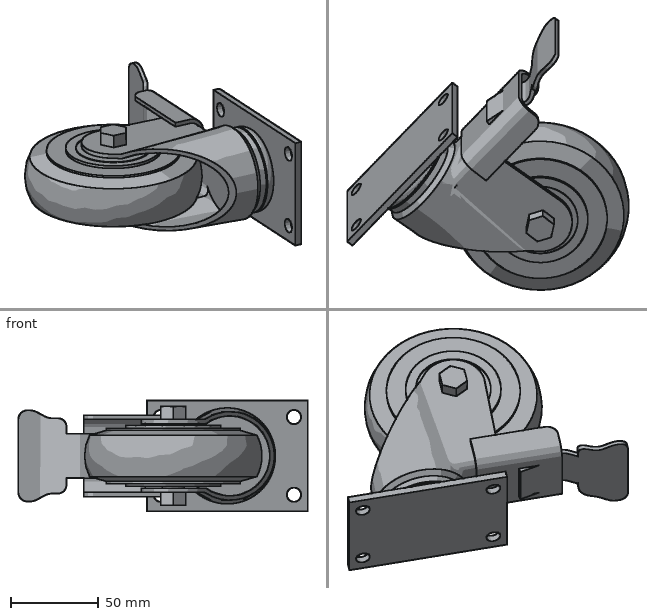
import cadquery as cq
import math


sheet = 2.5
swivel_x = 31.0

plate_top = 79.4
plate_thickness = 4.0
plate_length = 92.1
plate_width = 63.5
hole_spacing_x = 76.2
hole_spacing_z = 44.45
hole_diameter = 8.0
plate_bottom = plate_top - plate_thickness

race_radius = 25.0
race_rounding = 4.6
upper_race_bottom = 69.4
lower_race_top = 68.5
gap_neck_radius = 23.5

lower_race_bottom = 64.5
cup_top = 61.5
cup_radius = 27.5
cup_taper = 2.5
cup_front_y = 47.5

arm_top = 58.4
arm_outer_z = 20.9
arm_inner_z = arm_outer_z - sheet
arm_end_radius = 18.3
arm_bend = 6.5
arm_back_x = -15.8
arm_joint_fillet = 2.9

wheel_radius = 50.8
tread_edge_radius = 47.9
tread_edge_z = 11.8
rim_radius = 38.3
rim_low_z = 14.6
rim_high_z = 15.8
boss_radius = 27.3
boss_z = 17.4
recess_radius = 21.5
recess_depth = 0.4
hub_radius = 6.3

axle_radius = 5.0
bolt_flats = 14.5
bolt_head_height = 7.4
bolt_chamfer = 0.6

channel_back_x = -51.3
channel_length = 50.0
channel_top = 60.6
channel_bottom = 42.0
channel_corner = 6.5
channel_outer_z = arm_outer_z + sheet
channel_bend = arm_bend + sheet

pedal_tip_x = -88.7
pedal_tip_y = 63.8
pedal_flat_length = 7.0
pedal_crown_radius = 36.0
pedal_slope = 30.0
pedal_slope_length = 9.1
pedal_valley_radius = 8.0
pedal_rise = 25.5
pedal_bend_x = -37.5
pedal_end_x = -26.0
pedal_end_y = 61.9
pedal_tip_half_width = 26.2
pedal_tip_corner = 5.5
pedal_waist_start_x = -80.0
pedal_waist_end_x = -71.5
pedal_shoulder_half_width = 21.6
pedal_waist_corner = 10.0
pedal_shoulder_x = -61.0
pedal_shoulder_corner = 5.0
pedal_neck_half_width = 12.75


def about_swivel_axis(points):
    """Turn a closed (radius, y) outline round the swivel axis."""
    profile = cq.Workplane("XY").polyline(points).close()
    return profile.revolve(360, (0, 0, 0), (0, 1, 0)).translate((swivel_x, 0, 0))


def make_mounting_plate():
    plate = (
        cq.Workplane("XZ", origin=(swivel_x, plate_top, 0))
        .rect(plate_length, plate_width)
        .extrude(plate_thickness)
    )
    holes = (
        cq.Workplane("XZ", origin=(swivel_x, plate_top, 0))
        .rect(hole_spacing_x, hole_spacing_z, forConstruction=True)
        .vertices()
        .circle(hole_diameter / 2)
        .extrude(plate_thickness)
    )
    race = (
        cq.Workplane("XZ", origin=(swivel_x, plate_bottom, 0))
        .circle(race_radius)
        .extrude(plate_bottom - upper_race_bottom)
        .faces(">Y").edges().fillet(race_rounding)
    )
    neck = (
        cq.Workplane("XZ", origin=(swivel_x, upper_race_bottom, 0))
        .circle(gap_neck_radius)
        .extrude(upper_race_bottom - lower_race_top)
    )
    return plate.cut(holes).union(race).union(neck)


def tangent_point(x, y, radius, side):
    """Point where the line from (x, y) touches a circle about the origin."""
    angle = math.atan2(y, x) + side * math.acos(radius / math.hypot(x, y))
    return radius * math.cos(angle), radius * math.sin(angle)


def cup_radius_at(y):
    return cup_radius - (cup_top - y) * math.tan(math.radians(cup_taper))


def side_outline():
    """Outline of the fork seen along the axle, as a prism wider than the fork."""
    front_x = swivel_x + cup_radius_at(cup_front_y)
    front_touch = tangent_point(front_x, cup_front_y, arm_end_radius, -1)
    back_touch = tangent_point(arm_back_x, arm_top, arm_end_radius, 1)
    cup_right = swivel_x + cup_radius
    outline = (
        cq.Workplane("XY")
        .moveTo(arm_back_x, arm_top)
        .lineTo(arm_back_x, lower_race_top)
        .lineTo(cup_right, lower_race_top)
        .lineTo(cup_right, cup_top)
        .lineTo(front_x, cup_front_y)
        .lineTo(*front_touch)
        .threePointArc((0, -arm_end_radius), back_touch)
        .close()
    )
    return outline.extrude(2 * cup_radius, both=True)


def round_topped_bar(back_x, length, top, bottom, half_width, bend):
    """Solid bar along X with its two upper edges rounded."""
    bar = cq.Workplane("XY").box(length, top - bottom, 2 * half_width, centered=(False, False, True))
    return bar.translate((back_x, bottom, 0)).edges("|X and >Y").fillet(bend)


def make_fork_shell():
    bottom = -arm_end_radius
    blank_back_x = -arm_end_radius
    blank_length = swivel_x - blank_back_x
    cup_outer = about_swivel_axis([
        (0, lower_race_top),
        (race_radius, lower_race_top),
        (race_radius, lower_race_bottom),
        (cup_radius, cup_top),
        (cup_radius_at(bottom), bottom),
        (0, bottom),
    ])
    cavity_top = arm_top - sheet
    cup_inner = about_swivel_axis([
        (0, cavity_top),
        (cup_radius_at(cavity_top) - sheet, cavity_top),
        (cup_radius_at(bottom) - sheet, bottom),
        (0, bottom),
    ])
    arms_outer = round_topped_bar(blank_back_x, blank_length, arm_top, bottom, arm_outer_z, arm_bend)
    arms_inner = round_topped_bar(
        blank_back_x, blank_length, cavity_top, bottom, arm_inner_z, arm_bend - sheet
    )
    outside = cup_outer.union(arms_outer)
    joint_region = cq.selectors.BoxSelector(
        (0, 0, -cup_radius), (arm_end_radius, arm_top + sheet, cup_radius)
    )
    outside = outside.edges(joint_region).fillet(arm_joint_fillet)
    return outside.cut(cup_inner).cut(arms_inner).intersect(side_outline())


def make_axle():
    axle = cq.Workplane("XY").circle(axle_radius).extrude(arm_outer_z, both=True)
    hexagon = (
        cq.Workplane("XY", origin=(0, 0, arm_outer_z))
        .polygon(6, bolt_flats / math.cos(math.radians(30)))
        .extrude(bolt_head_height)
        .rotate((0, 0, 0), (0, 0, 1), 30)
    )
    corner_cone = (
        cq.Workplane("XY", origin=(0, 0, arm_outer_z))
        .circle(bolt_flats / 2 + bolt_head_height)
        .extrude(bolt_head_height)
        .faces(">Z").chamfer(bolt_chamfer, bolt_head_height)
    )
    head = hexagon.intersect(corner_cone)
    return axle.union(head).union(head.mirror("XY"))


def make_brake_channel():
    outer = round_topped_bar(
        channel_back_x, channel_length, channel_top, channel_bottom, channel_outer_z, channel_bend
    )
    inner = round_topped_bar(
        channel_back_x, channel_length, channel_top - sheet, channel_bottom, arm_outer_z, arm_bend
    )
    return outer.edges("|Z and <X and <Y").fillet(channel_corner).cut(inner)


def pedal_path():
    """Mid-thickness line of the pedal: flat tip, crown, slope, valley, and the end lying on the channel."""
    down = math.radians(pedal_slope)
    up = math.radians(pedal_rise)
    crown_start = (pedal_tip_x + pedal_flat_length, pedal_tip_y)
    crown_end = (
        crown_start[0] + pedal_crown_radius * math.sin(down),
        pedal_tip_y - pedal_crown_radius * (1 - math.cos(down)),
    )
    valley_start = (
        crown_end[0] + pedal_slope_length * math.cos(down),
        crown_end[1] - pedal_slope_length * math.sin(down),
    )
    valley_end = (
        valley_start[0] + pedal_valley_radius * (math.sin(down) + math.sin(up)),
        valley_start[1] + pedal_valley_radius * (math.cos(down) - math.cos(up)),
    )
    bend_y = valley_end[1] + (pedal_bend_x - valley_end[0]) * math.tan(up)
    return (
        cq.Workplane("XY")
        .moveTo(pedal_tip_x, pedal_tip_y)
        .lineTo(*crown_start)
        .tangentArcPoint(crown_end, relative=False)
        .lineTo(*valley_start)
        .tangentArcPoint(valley_end, relative=False)
        .lineTo(pedal_bend_x, bend_y)
        .lineTo(pedal_end_x, pedal_end_y)
    )


def pedal_planform():
    """Outline of the pedal seen square to its flat tip, as a prism taller than the pedal."""
    half_outline = [
        (pedal_tip_x, pedal_tip_half_width, pedal_tip_corner),
        (pedal_waist_start_x, pedal_tip_half_width, pedal_waist_corner),
        (pedal_waist_end_x, pedal_shoulder_half_width, pedal_waist_corner),
        (pedal_shoulder_x, pedal_shoulder_half_width, pedal_shoulder_corner),
    ]
    corners = [(x, z) for x, z, _ in half_outline]
    corners += [(pedal_shoulder_x, pedal_neck_half_width), (0, pedal_neck_half_width)]
    corners += [(x, -z) for x, z in reversed(corners)]
    planform = cq.Workplane("XZ").polyline(corners).close().extrude(-plate_top)
    for x, z, radius in half_outline:
        for side in (-1, 1):
            corner = cq.selectors.NearestToPointSelector((x, plate_top / 2, side * z))
            planform = planform.edges("|Y").edges(corner).fillet(radius)
    return planform


def make_pedal():
    strip = (
        cq.Workplane("YZ", origin=(pedal_tip_x, pedal_tip_y, 0))
        .rect(sheet, 2 * pedal_tip_half_width)
        .sweep(pedal_path(), transition="right")
    )
    return strip.intersect(pedal_planform())


def make_fork():
    return make_fork_shell().union(make_axle()).union(make_brake_channel()).union(make_pedal())


def make_wheel():
    recess_z = boss_z - recess_depth
    half = [
        (tread_edge_radius, tread_edge_z),
        (rim_radius, rim_low_z),
        (rim_radius, rim_high_z),
        (boss_radius, rim_high_z),
        (boss_radius, boss_z),
        (recess_radius, boss_z),
        (recess_radius, recess_z),
        (hub_radius, recess_z),
        (hub_radius, arm_inner_z),
        (axle_radius, arm_inner_z),
    ]
    profile = cq.Workplane("XZ").moveTo(*half[0])
    for point in half[1:]:
        profile = profile.lineTo(*point)
    for radius, z in reversed(half):
        profile = profile.lineTo(radius, -z)
    profile = profile.threePointArc((wheel_radius, 0), half[0]).close()
    return profile.revolve(360, (0, 0, 0), (0, 1, 0))


mounting_plate = make_mounting_plate()
fork = make_fork()
wheel = make_wheel()

result = cq.Compound.makeCompound([mounting_plate.val(), fork.val(), wheel.val()])